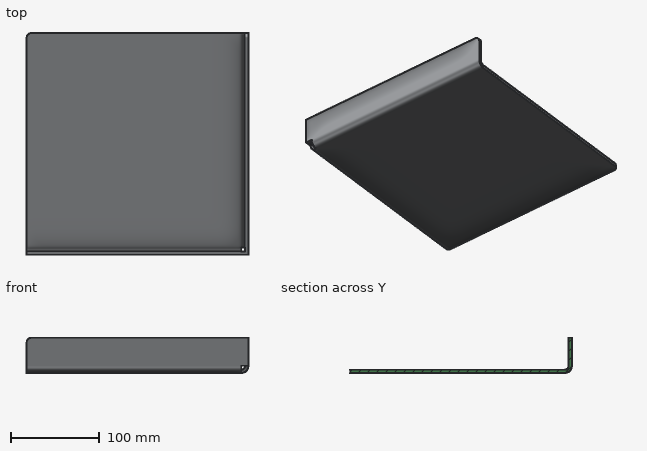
import cadquery as cq
import math

side = 250.0
height = 40.0
thickness = 4.0
inner_bend_radius = 4.0
corner_radius = 6.0

outer_bend_radius = inner_bend_radius + thickness
half_side = side / 2
bend_line = half_side - outer_bend_radius
floor_length = half_side + bend_line


def make_floor():
    """Flat floor with its one free corner rounded."""
    floor = cq.Workplane("XY").box(floor_length, floor_length, thickness, centered=False)
    floor = floor.translate((-half_side, -bend_line, 0))
    return floor.edges("|Z and <X and >Y").fillet(corner_radius)


def make_bend():
    """Quarter-round bend along the +X side, stopping short of the corner."""
    diagonal = math.sqrt(0.5)
    outer_mid = (bend_line + outer_bend_radius * diagonal, outer_bend_radius * (1 - diagonal))
    inner_mid = (bend_line + inner_bend_radius * diagonal, outer_bend_radius - inner_bend_radius * diagonal)
    return (
        cq.Workplane("XZ", origin=(0, half_side, 0))
        .moveTo(bend_line, 0)
        .threePointArc(outer_mid, (half_side, outer_bend_radius))
        .lineTo(half_side - thickness, outer_bend_radius)
        .threePointArc(inner_mid, (bend_line, thickness))
        .close()
        .extrude(floor_length)
    )


def make_wall():
    """Upright wall on the +X side, running full length to the closed corner."""
    wall = cq.Workplane("XY").box(thickness, side, height - outer_bend_radius, centered=False)
    wall = wall.translate((half_side - thickness, -half_side, outer_bend_radius))
    return wall.edges("|X and >Y and >Z").fillet(corner_radius)


def mirror_to_front(body):
    """Mirror across the diagonal through the closed corner, from +X to -Y."""
    return body.mirror("YZ").rotate((0, 0, 0), (0, 0, 1), 90)


flange = make_bend().union(make_wall())
result = make_floor().union(flange).union(mirror_to_front(flange))